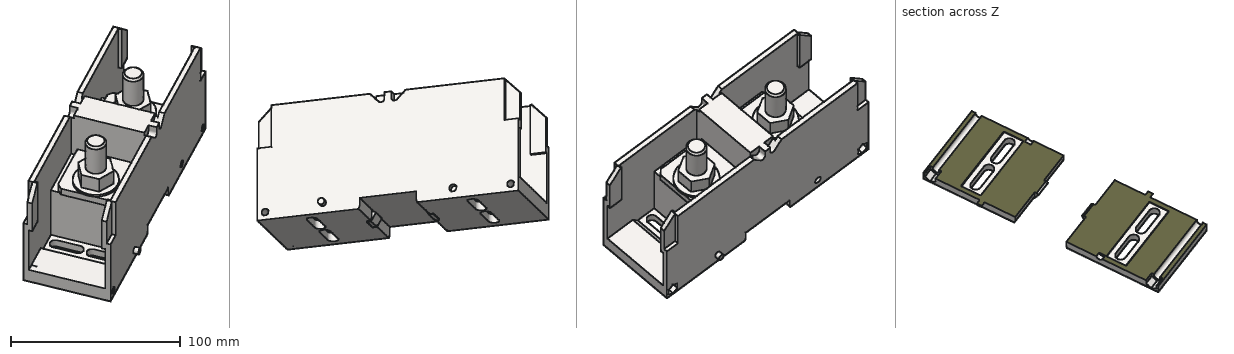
import cadquery as cq
import math

LENGTH = 163.0
WIDTH = 54.8
HEIGHT = 71.2
CAVITY_WIDTH = 48.0
END_FLOOR_Z = 9.3
LOW_FLOOR_Z = 5.2
FLOOR_STEP_Y = 61.0
BLOCK_TOP_Z = 40.5
BLOCK_END_Y = 43.7
DIVIDER_THICKNESS = 18.3

LAP_Z = 45.2
LAP_LENGTH = 8.8
LAP_DEPTH = 2.5
TAB_LENGTH = 9.6
TAB_DEPTH = 2.1

NOTCH_RADIUS = 2.1
NOTCH_INNER_Y = 2.1
NOTCH_DEPTH = 6.0
NOTCH_FACE_X = 22.2

SLOT_LENGTH = 21.0
SLOT_WIDTH = 6.5
SLOT_X = 11.5
SLOT_Y = 50.2

RAIL_HALF_WIDTH = 17.6
RAIL_DEPTH = 6.8
RAIL_CHAMFER_WIDTH = 0.7
RAIL_CHAMFER_HEIGHT = 2.1
HOOK_WIDTH = 10.8
HOOK_TIP_Y = 15.0
HOOK_TIP_Z = 4.7
HOOK_ROOT_Z = 6.2
HOOK_FOOT_INNER_Y = 18.1
HOOK_FOOT_OUTER_Y = 20.9
HOOK_DROP = 0.5

SCREW_Y = 76.6
SCREW_Z = 4.7
SCREW_DIAMETER = 4.2
NUT_FLATS = 7.2
NUT_POCKET_DEPTH = 6.5

PEG_DIAMETER = 4.0
PEG_HOLE_DIAMETER = 4.4
OVERALL_WIDTH = 61.1
PEG_LENGTH = (OVERALL_WIDTH - WIDTH) / 2
PEG_HOLE_DEPTH = PEG_LENGTH
PEG_Y = 40.6
PEG_Z = 6.4

STUD_Y = 32.0
PLATE_WIDTH = 40.0
PLATE_END_Y = 45.2
PLATE_TOP_Z = 45.2
PLATE_CHAMFER = 3.0
WASHER_DIAMETER = 27.4
WASHER_TOP_Z = 46.6
NUT_TOP_Z = 56.5
HEX_FLATS = 19.2
STUD_DIAMETER = 12.4
STUD_TOP_Z = 77.3
STUD_CHAMFER_HEIGHT = 1.5
STUD_CHAMFER_WIDTH = 1.1

HALF_LENGTH = LENGTH / 2
HALF_WIDTH = WIDTH / 2
SIDES = (-1, 1)


def box(x_range, y_range, z_range):
    """Box between opposite limits, given in any order."""
    x0, x1 = sorted(x_range)
    y0, y1 = sorted(y_range)
    z0, z1 = sorted(z_range)
    return cq.Workplane("XY").box(x1 - x0, y1 - y0, z1 - z0, centered=False).translate((x0, y0, z0))


def across_flats_to_corners(flats):
    return flats / math.cos(math.pi / 6)


def body_with_floor():
    """Long trough: stepped floor, terminal blocks and the central divider between two walls."""
    slope_end_y = FLOOR_STEP_Y - (END_FLOOR_Z - LOW_FLOOR_Z)
    half_profile = [
        (HALF_LENGTH, END_FLOOR_Z),
        (FLOOR_STEP_Y, END_FLOOR_Z),
        (slope_end_y, LOW_FLOOR_Z),
        (BLOCK_END_Y, LOW_FLOOR_Z),
        (BLOCK_END_Y, BLOCK_TOP_Z),
        (DIVIDER_THICKNESS / 2, BLOCK_TOP_Z),
        (DIVIDER_THICKNESS / 2, HEIGHT),
        (HALF_LENGTH, HEIGHT),
    ]
    body = cq.Workplane("XY").box(WIDTH, LENGTH, HEIGHT, centered=(True, True, False))
    for side in SIDES:
        cavity = (
            cq.Workplane("YZ")
            .polyline([(side * y, z) for y, z in half_profile])
            .close()
            .extrude(CAVITY_WIDTH / 2, both=True)
        )
        body = body.cut(cavity)
    return body


def shape_wall_end(body, x_side, y_side):
    """Inner tab, outer lap and corner chamfer at one end of one wall."""
    end_y = y_side * HALF_LENGTH
    wall_x = x_side * CAVITY_WIDTH / 2
    tab = box(
        (wall_x - x_side * TAB_DEPTH, wall_x),
        (end_y - y_side * TAB_LENGTH, end_y),
        (BLOCK_TOP_Z, HEIGHT),
    )
    lap = box(
        (x_side * (HALF_WIDTH - LAP_DEPTH), x_side * HALF_WIDTH),
        (end_y - y_side * LAP_LENGTH, end_y),
        (LAP_Z, HEIGHT),
    )
    corner = (
        cq.Workplane("YZ")
        .polyline([
            (end_y, HEIGHT),
            (end_y - y_side * LAP_LENGTH, HEIGHT),
            (end_y, HEIGHT - LAP_LENGTH),
        ])
        .close()
        .extrude(x_side * HALF_WIDTH)
    )
    return body.union(tab).cut(lap).cut(corner)


def wall_notch(x_side, y_side):
    """Round-bottomed notch with a vertical inner side and a 45 degree outer side."""
    center_y = NOTCH_INNER_Y + NOTCH_RADIUS
    center_z = HEIGHT - NOTCH_DEPTH + NOTCH_RADIUS
    diagonal = NOTCH_RADIUS * math.sqrt(0.5)
    tangent_y = center_y + diagonal
    tangent_z = center_z - diagonal
    mid_angle = math.radians(-112.5)
    arc_mid = (
        center_y + NOTCH_RADIUS * math.cos(mid_angle),
        center_z + NOTCH_RADIUS * math.sin(mid_angle),
    )
    outer_y = tangent_y + HEIGHT - tangent_z
    return (
        cq.Workplane("YZ", origin=(x_side * NOTCH_FACE_X, 0, 0))
        .moveTo(y_side * NOTCH_INNER_Y, HEIGHT)
        .lineTo(y_side * NOTCH_INNER_Y, center_z)
        .threePointArc((y_side * arc_mid[0], arc_mid[1]), (y_side * tangent_y, tangent_z))
        .lineTo(y_side * outer_y, HEIGHT)
        .close()
        .extrude(x_side * (HALF_WIDTH - NOTCH_FACE_X))
    )


def floor_slots():
    centers = [(x * SLOT_X, y * SLOT_Y) for x in SIDES for y in SIDES]
    return cq.Workplane("XY").pushPoints(centers).slot2D(SLOT_LENGTH, SLOT_WIDTH).extrude(END_FLOOR_Z)


def rail_seat():
    mouth_half_width = RAIL_HALF_WIDTH + RAIL_CHAMFER_WIDTH
    return (
        cq.Workplane("YZ")
        .polyline([
            (-mouth_half_width, 0),
            (-RAIL_HALF_WIDTH, RAIL_CHAMFER_HEIGHT),
            (-RAIL_HALF_WIDTH, RAIL_DEPTH),
            (RAIL_HALF_WIDTH, RAIL_DEPTH),
            (RAIL_HALF_WIDTH, RAIL_CHAMFER_HEIGHT),
            (mouth_half_width, 0),
        ])
        .close()
        .extrude(HALF_WIDTH, both=True)
    )


def rail_hook(y_side):
    """Pointed hook that reaches into the rail seat, with a foot just below the housing."""
    profile = [
        (HOOK_FOOT_OUTER_Y, HOOK_ROOT_Z),
        (RAIL_HALF_WIDTH, HOOK_ROOT_Z),
        (HOOK_TIP_Y, HOOK_TIP_Z),
        (HOOK_FOOT_INNER_Y, -HOOK_DROP),
        (HOOK_FOOT_OUTER_Y, -HOOK_DROP),
    ]
    return (
        cq.Workplane("YZ")
        .polyline([(y_side * y, z) for y, z in profile])
        .close()
        .extrude(HOOK_WIDTH / 2, both=True)
    )


def screw_hole(y_side):
    """Cross hole through the full width with a hexagonal nut pocket, corners up and down."""
    left_face = cq.Workplane("YZ", origin=(-HALF_WIDTH, y_side * SCREW_Y, SCREW_Z))
    hole = left_face.circle(SCREW_DIAMETER / 2).extrude(WIDTH)
    pocket = (
        left_face.transformed(rotate=(0, 0, 90))
        .polygon(6, across_flats_to_corners(NUT_FLATS))
        .extrude(NUT_POCKET_DEPTH)
    )
    return hole.union(pocket)


def side_cylinder(x_side, y, diameter, length):
    """Cylinder along X that starts on a side face; a negative length goes into the housing."""
    return (
        cq.Workplane("YZ", origin=(x_side * HALF_WIDTH, y, PEG_Z))
        .circle(diameter / 2)
        .extrude(x_side * length)
    )


def make_housing():
    body = body_with_floor()
    for x_side in SIDES:
        for y_side in SIDES:
            body = shape_wall_end(body, x_side, y_side)
            body = body.cut(wall_notch(x_side, y_side))
    body = body.cut(floor_slots()).cut(rail_seat())
    for y_side in SIDES:
        body = body.union(rail_hook(y_side)).cut(screw_hole(y_side))
    for x_side in SIDES:
        body = body.union(side_cylinder(x_side, -x_side * PEG_Y, PEG_DIAMETER, PEG_LENGTH))
        body = body.cut(side_cylinder(x_side, x_side * PEG_Y, PEG_HOLE_DIAMETER, -PEG_HOLE_DEPTH))
    return body


def make_terminal(y_side):
    """Contact plate with its washer, hexagon and stud."""
    plate = box(
        (-PLATE_WIDTH / 2, PLATE_WIDTH / 2),
        (y_side * DIVIDER_THICKNESS / 2, y_side * PLATE_END_Y),
        (BLOCK_TOP_Z, PLATE_TOP_Z),
    )
    outer_face = ">Y" if y_side > 0 else "<Y"
    plate = plate.faces(outer_face).edges("|Z").chamfer(PLATE_CHAMFER)

    stud_base = cq.Workplane("XY", origin=(0, y_side * STUD_Y, PLATE_TOP_Z))
    washer = stud_base.circle(WASHER_DIAMETER / 2).extrude(WASHER_TOP_Z - PLATE_TOP_Z)
    hexagon = (
        stud_base.polygon(6, across_flats_to_corners(HEX_FLATS))
        .extrude(NUT_TOP_Z - PLATE_TOP_Z)
    )
    stud = (
        stud_base.circle(STUD_DIAMETER / 2)
        .extrude(STUD_TOP_Z - PLATE_TOP_Z)
        .faces(">Z")
        .edges()
        .chamfer(STUD_CHAMFER_HEIGHT, STUD_CHAMFER_WIDTH)
    )
    return plate.union(washer).union(hexagon).union(stud)


housing = make_housing()
terminals = [make_terminal(y_side) for y_side in SIDES]

result = cq.Compound.makeCompound([housing.val(), *[terminal.val() for terminal in terminals]])